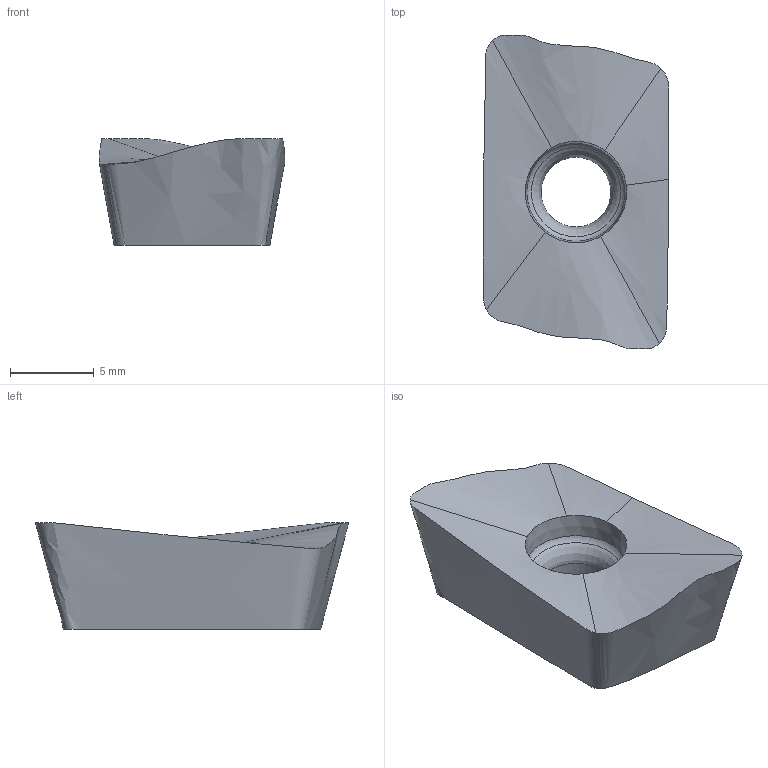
import cadquery as cq
import math

LENGTH = 18.67
WIDTH = 11.04
HEIGHT = 6.35
SWELL = 0.004
HALF_LENGTH = LENGTH / 2 - SWELL
HALF_WIDTH = WIDTH / 2 - SWELL

LOW_Z = 4.82

BASE_HALF_LENGTH = 7.66
BASE_HALF_WIDTH = 4.64

BORE_RADIUS = 4.15 / 2
BORE_TOP_Z = 2.26
SEAT_RADIUS = 2.66
SEAT_Z = 3.35
WALL_RADIUS = 2.93
WALL_Z = 3.67
MOUTH_RADIUS = 3.025
MOUTH_Z = 5.08

SEAM = (5.51, 0.75, 5.38)

LOW_SIDE_END = (HALF_WIDTH, 6.3, LOW_Z + 0.06)
LOW_CORNER = (5.33, 7.0, LOW_Z)
LOW_END_START = (4.84, 7.54, LOW_Z + 0.01)
END_CURVE = [
    (2.95, 8.12, 5.04),
    (0.76, 8.66, 5.66),
    (-1.28, 8.77, 6.17),
    (-2.23, 9.01, 6.315),
]
NOSE_START = (-3.2, HALF_LENGTH, HEIGHT)
NOSE_END = (-4.37, HALF_LENGTH, HEIGHT)
NOSE_CORNER = (-4.97, 9.01, HEIGHT)
NOSE_SIDE_START = (-5.38, 8.15, HEIGHT)
SIDE_MIDDLE = (-5.48, 3.5, 5.84)

TOP_SEAM = (5.06, 7.38, LOW_Z)

BASE_SEAM = (4.53, 0.75, 0)
BASE_LOW_SIDE_END = (BASE_HALF_WIDTH, 5.75, 0)
BASE_LOW_CORNER = (4.42, 6.4, 0)
BASE_LOW_END_START = (3.9, 6.7, 0)
BASE_END_CURVE = [(1.25, 7.23, 0), (-0.94, 7.43, 0)]
BASE_NOSE_START = (-3.0, 7.58, 0)
BASE_NOSE_END = (-3.7, BASE_HALF_LENGTH, 0)
BASE_NOSE_CORNER = (-4.1, 7.58, 0)
BASE_NOSE_SIDE_START = (-4.36, 6.9, 0)

SAMPLES_PER_STRETCH = 8


def half_turn(point):
    """The point opposite the given one across the hole axis."""
    x, y, z = point
    return (-x, -y, z)


def stretch(*points):
    """A straight edge, an arc or a spline for two, three or more points."""
    vectors = [cq.Vector(*point) for point in points]
    if len(vectors) == 2:
        return cq.Edge.makeLine(*vectors)
    if len(vectors) == 3:
        return cq.Edge.makeThreePointArc(*vectors)
    return cq.Edge.makeSpline(vectors)


def loop_points(half_stretches):
    """Evenly spread points of each stretch and of its half-turned copy, back to the start."""
    fractions = [step / SAMPLES_PER_STRETCH for step in range(SAMPLES_PER_STRETCH)]
    half = [point for edge in half_stretches for point in edge.positions(fractions)]
    opposite = [cq.Vector(*half_turn(point.toTuple())) for point in half]
    return [*half, *opposite, half[0]]


def rim_points():
    return loop_points([
        stretch(SEAM, LOW_SIDE_END),
        stretch(LOW_SIDE_END, LOW_CORNER, LOW_END_START),
        stretch(LOW_END_START, *END_CURVE, NOSE_START),
        stretch(NOSE_START, NOSE_END),
        stretch(NOSE_END, NOSE_CORNER, NOSE_SIDE_START),
        stretch(NOSE_SIDE_START, SIDE_MIDDLE, half_turn(SEAM)),
    ])


def base_points():
    return loop_points([
        stretch(BASE_SEAM, BASE_LOW_SIDE_END),
        stretch(BASE_LOW_SIDE_END, BASE_LOW_CORNER, BASE_LOW_END_START),
        stretch(BASE_LOW_END_START, *BASE_END_CURVE, BASE_NOSE_START),
        stretch(BASE_NOSE_START, BASE_NOSE_END),
        stretch(BASE_NOSE_END, BASE_NOSE_CORNER, BASE_NOSE_SIDE_START),
        stretch(BASE_NOSE_SIDE_START, half_turn(BASE_SEAM)),
    ])


def running_lengths(points):
    """The distance covered on reaching each point, as a fraction of the whole loop."""
    lengths = [0.0]
    for point, following in zip(points, points[1:]):
        lengths.append(lengths[-1] + (following - point).Length)
    return [length / lengths[-1] for length in lengths]


def smooth_loops():
    """The base and rim as smooth closed edges that keep step with each other."""
    rim = rim_points()
    steps = running_lengths(rim)
    return [cq.Edge.makeSpline(points, parameters=steps) for points in (base_points(), rim)]


def split_rim(rim):
    """The rim cut at the seam and on each of its four rounded corners."""
    corners = [TOP_SEAM, NOSE_CORNER, half_turn(LOW_CORNER), half_turn(NOSE_CORNER)]
    first, last = rim.bounds()
    cuts = [first, *rim.params([cq.Vector(*corner) for corner in corners]), last]
    return [rim.trim(start, end) for start, end in zip(cuts, cuts[1:])]


def mouth_point(angle):
    return cq.Vector(MOUTH_RADIUS * math.cos(angle), MOUTH_RADIUS * math.sin(angle), MOUTH_Z)


def mouth_arc(rim_edge):
    """The arc of the hole mouth that lies radially inside a rim edge."""
    start, end = rim_edge.startPoint(), rim_edge.endPoint()
    start_angle = math.atan2(start.y, start.x)
    turn = (math.atan2(end.y, end.x) - start_angle) % math.tau
    return cq.Edge.makeThreePointArc(*[mouth_point(start_angle + turn * part) for part in (0, 0.5, 1)])


def make_body():
    """Blank whose flank rises from the base to the rim and whose top dips to the hole mouth."""
    base, rim = smooth_loops()
    rim_edges = split_rim(rim)
    mouth = [mouth_arc(edge) for edge in rim_edges]
    flank = cq.Face.makeRuledSurface(base, rim)
    top = [cq.Face.makeRuledSurface(inner, outer) for inner, outer in zip(mouth, rim_edges)]
    floor = cq.Face.makeFromWires(cq.Wire.assembleEdges([base]))
    lid = cq.Face.makeFromWires(cq.Wire.assembleEdges(mouth))
    shell = cq.Shell.makeShell([floor, lid, flank, *top])
    return cq.Workplane(cq.Solid.makeSolid(shell).fix())


def make_hole():
    """Revolved cutter: straight bore, seat rounded into it, filleted step and tapered mouth."""
    rise = SEAT_Z - BORE_TOP_Z
    flare = SEAT_RADIUS - BORE_RADIUS
    seat_round = (rise**2 + flare**2) / (2 * flare)
    half_sweep = math.asin(rise / seat_round) / 2
    seat_middle = (
        BORE_RADIUS + seat_round * (1 - math.cos(half_sweep)),
        BORE_TOP_Z + seat_round * math.sin(half_sweep),
    )
    profile = (
        cq.Workplane("XZ")
        .lineTo(BORE_RADIUS, 0)
        .lineTo(BORE_RADIUS, BORE_TOP_Z)
        .threePointArc(seat_middle, (SEAT_RADIUS, SEAT_Z))
        .tangentArcPoint((WALL_RADIUS, WALL_Z), relative=False)
        .lineTo(MOUTH_RADIUS, MOUTH_Z)
        .lineTo(0, MOUTH_Z)
        .close()
    )
    return profile.revolve(360, (0, 0, 0), (0, 1, 0))


result = make_body().cut(make_hole())